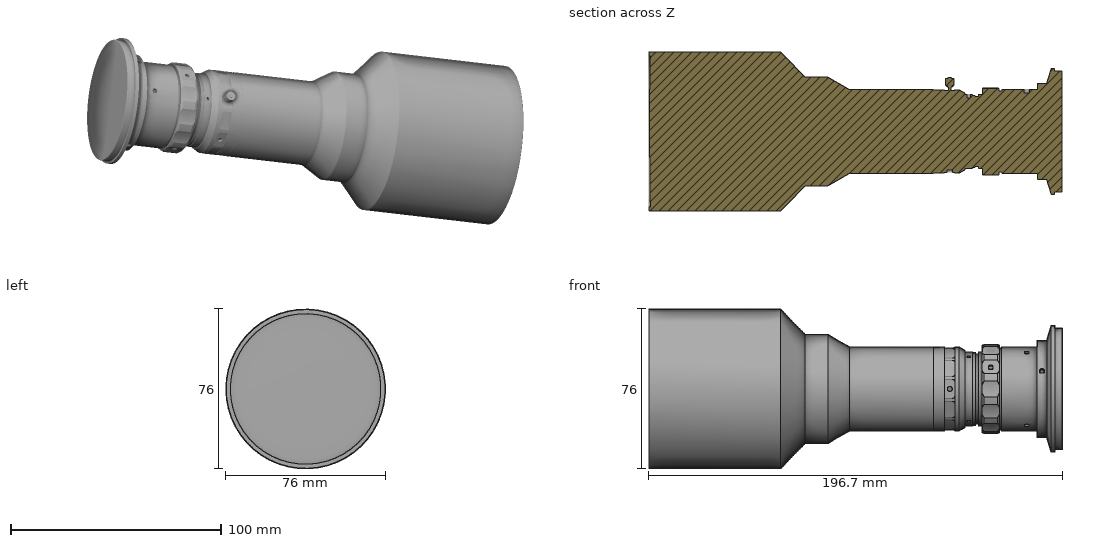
import cadquery as cq
import math

length = 196.7

hood_radius = 38.0
hood_end = 62.8
hood_edge_chamfer = 0.2
lens_radius = 35.8
lens_recess = 0.5
lens_rise = 0.4

waist_radius = 26.0
waist_start = 74.4
waist_end = 85.2
barrel_radius = 20.0
barrel_start = 95.5

band_start = 135.4
hairline_step = 0.1
band_radius = barrel_radius - hairline_step
lock_start = 140.7
lock_end = 145.8
shoulder_end = 147.5

neck_start = 150.5
shoulder_toe_radius = 18.3
neck_radius = 17.7
neck_end = 154.0
seat_radius = 17.3
groove_start = 155.5
groove_end = 156.8
groove_radius = 16.7

grip_start = 158.5
grip_end = 166.8
grip_radius = 21.5
grip_chamfer = 0.5
grip_chamfer_length = 1.0
relief_end = 167.8
relief_radius = 19.5

collar_start = 184.7
collar_radius = 23.0
flange_start = 189.5
flange_root_radius = 23.8
rim_start = 191.5
rim_end = 193.2
rim_radius = 30.1
lip_radius = 29.0
lip_chamfer = 0.2

facet_count = 12
facet_step = 360 / facet_count
pocket_wall = 0.2
pocket_half_angle = 12.8
pocket_corner = 1.0
pocket_cut_height = 2.0
hollow_half_angle = 10.0
hollow_radius = 15.7

hole_depth = 1.5
hole_diameter = 2.4
neck_hole_diameter = 1.5
screws_per_ring = 3
barrel_screw_x = 179.8

thumb_x = (lock_start + lock_end) / 2
thumb_sink = 2.0
thumb_pin_top = 21.0
thumb_pin_radius = 0.8
thumb_washer_top = 21.5
thumb_washer_radius = 1.8
thumb_neck_top = 21.8
thumb_neck_radius = 1.2
thumb_head_top = 25.4
thumb_head_radius = 2.2
thumb_tip_top = 25.8
thumb_tip_radius = 1.0


def body():
    """Revolved barrel, from the centre of the domed lens to the rear face."""
    profile = (
        cq.Workplane("XY")
        .moveTo(lens_recess - lens_rise, 0)
        .radiusArc((lens_recess, lens_radius), lens_sphere_radius())
        .lineTo(0, lens_radius)
        .lineTo(0, hood_radius - hood_edge_chamfer)
        .lineTo(hood_edge_chamfer, hood_radius)
        .lineTo(hood_end, hood_radius)
        .lineTo(waist_start, waist_radius)
        .lineTo(waist_end, waist_radius)
        .lineTo(barrel_start, barrel_radius)
        .lineTo(band_start, barrel_radius)
        .lineTo(band_start, band_radius)
        .lineTo(lock_start, band_radius)
        .lineTo(lock_start, barrel_radius)
        .lineTo(lock_end, barrel_radius)
        .lineTo(lock_end, band_radius)
        .lineTo(shoulder_end, band_radius)
        .lineTo(neck_start, shoulder_toe_radius)
        .lineTo(neck_start, neck_radius)
        .lineTo(neck_end, neck_radius)
        .lineTo(neck_end, seat_radius)
        .lineTo(groove_start, seat_radius)
        .lineTo(groove_start, groove_radius)
        .lineTo(groove_end, groove_radius)
        .lineTo(groove_end, neck_radius)
        .lineTo(grip_start, neck_radius)
        .lineTo(grip_start, grip_radius - grip_chamfer)
        .lineTo(grip_start + grip_chamfer_length, grip_radius)
        .lineTo(grip_end - grip_chamfer_length, grip_radius)
        .lineTo(grip_end, grip_radius - grip_chamfer)
        .lineTo(grip_end, relief_radius)
        .lineTo(relief_end, relief_radius)
        .lineTo(relief_end, barrel_radius)
        .lineTo(collar_start, barrel_radius)
        .lineTo(collar_start, collar_radius)
        .lineTo(flange_start, collar_radius)
        .lineTo(flange_start, flange_root_radius)
        .lineTo(rim_start, rim_radius)
        .lineTo(rim_end, rim_radius)
        .lineTo(rim_end, lip_radius)
        .lineTo(length - lip_chamfer, lip_radius)
        .lineTo(length, lip_radius - lip_chamfer)
        .lineTo(length, 0)
        .close()
    )
    return profile.revolve(360, (0, 0, 0), (1, 0, 0))


def lens_sphere_radius():
    return (lens_radius ** 2 + lens_rise ** 2) / (2 * lens_rise)


def around_axis(shape, angle):
    """Turn a shape about the barrel axis; angle 0 is +Y, 90 is +Z."""
    return shape.rotate((0, 0, 0), (1, 0, 0), angle)


def lock_pocket():
    """Flat-bottomed pocket on the +Y side, open to the front, with rounded rear corners."""
    half_angle = math.radians(pocket_half_angle)
    floor = barrel_radius * math.cos(half_angle)
    width = 2 * barrel_radius * math.sin(half_angle)
    pocket_length = lock_end - pocket_wall - lock_start
    return (
        cq.Workplane("XZ", origin=(lock_start + pocket_length / 2, floor, 0))
        .rect(pocket_length, width)
        .extrude(-pocket_cut_height)
        .edges("|Y and >X")
        .fillet(pocket_corner)
    )


def grip_hollow():
    """Concave cutter along X that meets the grip surface at the hollow half angle."""
    half_angle = math.radians(hollow_half_angle)
    half_chord = grip_radius * math.sin(half_angle)
    centre = grip_radius * math.cos(half_angle) + math.sqrt(hollow_radius ** 2 - half_chord ** 2)
    return (
        cq.Workplane("YZ", origin=(grip_start, 0, 0))
        .center(centre, 0)
        .circle(hollow_radius)
        .extrude(grip_end - grip_start)
    )


def screw_hole(x, surface_radius, diameter):
    """Blind radial hole on the +Y side, cut a little above the surface as well."""
    return (
        cq.Workplane("XZ", origin=(x, surface_radius - hole_depth, 0))
        .circle(diameter / 2)
        .extrude(-2 * hole_depth)
    )


def thumb_screw():
    """Turned thumb screw standing on the +Y side of the locking ring."""
    base = barrel_radius - thumb_sink
    steps = [
        (thumb_pin_radius, thumb_pin_top),
        (thumb_washer_radius, thumb_washer_top),
        (thumb_neck_radius, thumb_neck_top),
        (thumb_head_radius, thumb_head_top),
        (thumb_tip_radius, thumb_tip_top),
    ]
    outline = cq.Workplane("XY").moveTo(thumb_x, base)
    bottom = base
    for radius, top in steps:
        outline = outline.lineTo(thumb_x + radius, bottom).lineTo(thumb_x + radius, top)
        bottom = top
    outline = outline.lineTo(thumb_x, bottom).close()
    return outline.revolve(360, (thumb_x, 0, 0), (thumb_x, 1, 0))


result = body()

for index in range(facet_count):
    result = result.cut(around_axis(lock_pocket(), index * facet_step))
    result = result.cut(around_axis(grip_hollow(), index * facet_step))

hole_rings = [
    (thumb_x, barrel_radius, hole_diameter, 60),
    ((neck_start + neck_end) / 2, neck_radius, neck_hole_diameter, 0),
    ((grip_start + grip_end) / 2, grip_radius, hole_diameter, 30),
    (barrel_screw_x, barrel_radius, hole_diameter, 0),
    ((collar_start + flange_start) / 2, collar_radius, hole_diameter, 38),
]
for x, surface_radius, diameter, first_angle in hole_rings:
    for index in range(screws_per_ring):
        angle = first_angle + index * 360 / screws_per_ring
        result = result.cut(around_axis(screw_hole(x, surface_radius, diameter), angle))

result = result.union(thumb_screw())